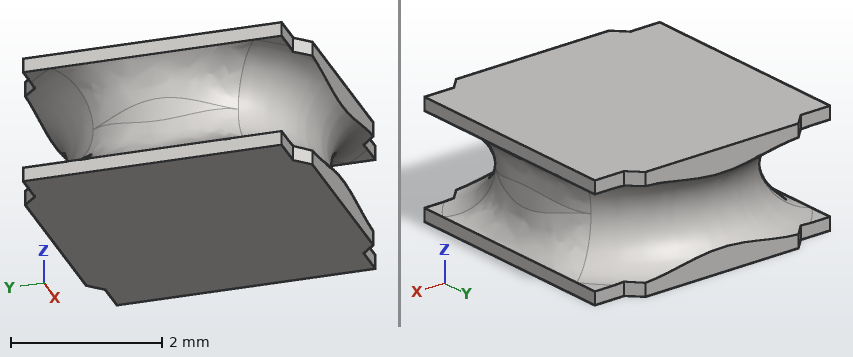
import cadquery as cq
import math

WIDTH = 4.0
HEIGHT = 1.8
FLANGE_THICKNESS = 0.2
CORE_RADIUS = 1.75
CORNER_STEP = 0.2
NOTCH_LENGTH = 0.5

HALF_WIDTH = WIDTH / 2
HALF_HEIGHT = HEIGHT / 2
HALF_GAP = HALF_HEIGHT - FLANGE_THICKNESS
FILLET_RADIUS = HALF_GAP
BALL_ORBIT = CORE_RADIUS + FILLET_RADIUS
SIDE_ANGLE = math.acos(HALF_WIDTH / BALL_ORBIT)

TOOL_REACH = 2.0
CLIP_RADIUS = 2 * TOOL_REACH * BALL_ORBIT
TOOL_OVERLAP = 0.1
CORE_UNDERCUT = 0.1
HALF_SECTIONS = 6


def flange_block():
    """Uncut block: a square with chamfered notches at its corners."""
    side_y = HALF_WIDTH - CORNER_STEP
    notch_x = HALF_WIDTH - NOTCH_LENGTH
    tip_x = notch_x - CORNER_STEP
    return (
        cq.Workplane("XY")
        .moveTo(-HALF_WIDTH, -side_y)
        .lineTo(-notch_x, -side_y)
        .lineTo(-tip_x, -HALF_WIDTH)
        .lineTo(tip_x, -HALF_WIDTH)
        .lineTo(notch_x, -side_y)
        .lineTo(HALF_WIDTH, -side_y)
        .lineTo(HALF_WIDTH, side_y)
        .lineTo(notch_x, side_y)
        .lineTo(tip_x, HALF_WIDTH)
        .lineTo(-tip_x, HALF_WIDTH)
        .lineTo(-notch_x, side_y)
        .lineTo(-HALF_WIDTH, side_y)
        .close()
        .extrude(HALF_HEIGHT, both=True)
    )


def round_groove():
    """Sector of the round winding groove on the +Y side."""
    outer = BALL_ORBIT * TOOL_REACH
    sweep = 180 - 2 * math.degrees(SIDE_ANGLE)
    return (
        cq.Workplane("XZ")
        .moveTo(outer, -FILLET_RADIUS)
        .lineTo(BALL_ORBIT, -FILLET_RADIUS)
        .threePointArc((CORE_RADIUS, 0), (BALL_ORBIT, FILLET_RADIUS))
        .lineTo(outer, FILLET_RADIUS)
        .close()
        .revolve(sweep, (0, 0, 0), (0, 1, 0))
        .rotate((0, 0, 0), (0, 0, 1), math.degrees(SIDE_ANGLE))
    )


def side_section(angle):
    """Groove section where a ball touching the core at this angle rests on the flange edge."""
    overhang = BALL_ORBIT * math.cos(angle) - HALF_WIDTH
    ball_z = HALF_GAP - math.sqrt(FILLET_RADIUS**2 - overhang**2)
    direction = cq.Vector(math.cos(angle), math.sin(angle), 0)
    ball = direction * BALL_ORBIT + cq.Vector(0, 0, ball_z)
    on_core = direction * CORE_RADIUS + cq.Vector(0, 0, ball_z)
    on_edge = cq.Vector(HALF_WIDTH, ball.y, HALF_GAP)
    arc_middle = ball + ((on_core + on_edge) * 0.5 - ball).normalized() * FILLET_RADIUS

    outside_top = cq.Vector(on_edge.x * TOOL_REACH, on_edge.y * TOOL_REACH, HALF_GAP)
    outside_bottom = cq.Vector(outside_top.x, outside_top.y, -TOOL_OVERLAP)
    core_bottom = direction * (CORE_RADIUS - CORE_UNDERCUT) + cq.Vector(0, 0, -TOOL_OVERLAP)
    return cq.Wire.assembleEdges(
        [
            cq.Edge.makeLine(core_bottom, on_core),
            cq.Edge.makeThreePointArc(on_core, arc_middle, on_edge),
            cq.Edge.makeLine(on_edge, outside_top),
            cq.Edge.makeLine(outside_top, outside_bottom),
            cq.Edge.makeLine(outside_bottom, core_bottom),
        ]
    )


def side_groove():
    """Groove on the +X side: fillets of constant radius run from the core to the straight flange edges."""
    steps = range(-HALF_SECTIONS, HALF_SECTIONS + 1)
    sections = [side_section(SIDE_ANGLE * step / HALF_SECTIONS) for step in steps]
    above_middle = cq.Workplane("XY").circle(CLIP_RADIUS).extrude(HEIGHT)
    upper = cq.Workplane(cq.Solid.makeLoft(sections)).intersect(above_middle)
    core = cq.Workplane("XY").circle(CORE_RADIUS).extrude(HALF_GAP, both=True)
    return upper.union(upper.mirror("XY")).cut(core)


result = flange_block()
grooves = [round_groove(), side_groove()]
for turn in (0, 180):
    for groove in grooves:
        result = result.cut(groove.rotate((0, 0, 0), (0, 0, 1), turn))
result = result.clean()